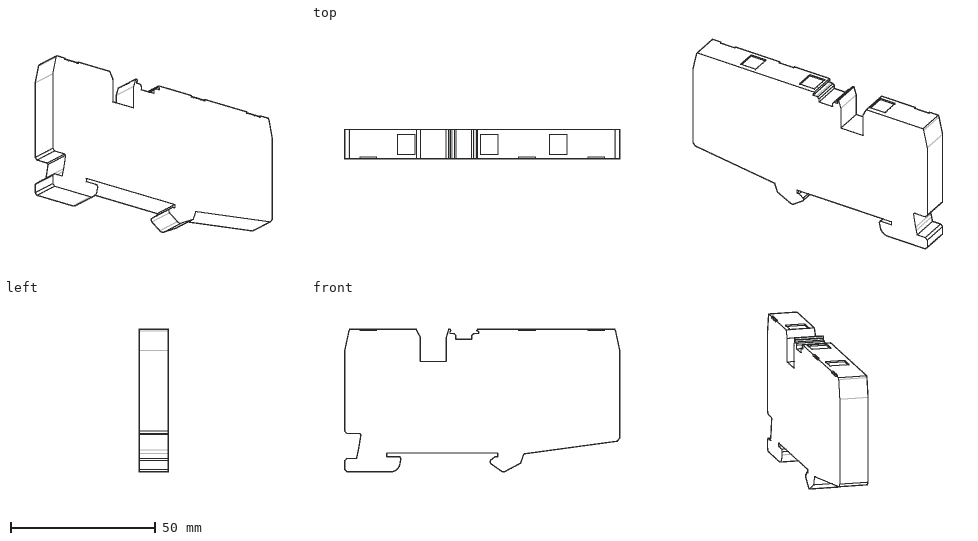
import cadquery as cq

length = 95.5
thickness = 10.2
height = 49.5

taper_start_z = 42.2
taper_run = 1.45
taper_end_z = 48.9
taper_tip_run = 1.75

notch_left = 26.25
notch_right = 35.2
notch_floor_z = 38.35
lead_in_run = 1.4
lead_in_z = 46.8
lip_start_z = 46.5
lip_tip_x = 36.1

channel_center = 41.35
channel_half_width = 2.75
channel_floor_z = 46.1
channel_bevel_half_width = 3.3
channel_bevel_bottom_z = 47.4
channel_bevel_top_z = 47.95
shelf_half_width = 3.85
shelf_z = 48.1
left_undercut_half_width = 4.75
right_undercut_half_width = 5.1
undercut_top_z = 48.7
bead_half_width = 4.45
bead_z = 49.0
mouth_half_width = 4.75

corner_chamfer = 0.8
foot_notch_top_z = 13.3
foot_notch_bottom_z = 4.7
foot_notch_top_x = 5.6
foot_notch_bottom_x = 4.1
foot_notch_corner = 0.4
foot_bend_upper = (4.75, 7.65)
foot_bend_lower = (4.47, 6.45)
toe_start_x = 16.4
toe_mid = (18.6, 1.3)
toe_end = (19.3, 3.3)
toe_tip = (19.6, 4.5)
toe_top_x = 19.2

rail_left = 14.65
rail_right = 53.05
rail_z = 6.5
rail_hook_z = 5.3

latch_top_x = 52.2
latch_nose_start = (50.6, 4.05)
latch_nose_mid = (50.45, 3.6)
latch_nose_end = (50.75, 2.8)
latch_flank_end = (54.2, 0.35)
latch_bottom_x = 55.1
latch_heel_start = (56.1, 0.35)
latch_heel = (61.1, 3.0)
latch_back = (62.2, 6.2)

slope_end = (94.6, 10.6)
right_corner_z = 11.8

pocket_lefts = (18.4, 47.1, 71.0)
pocket_length = 6.1
pocket_y_min = 1.5
pocket_width = 6.9
recess_depth = 0.5

label_lefts = (5.3, 60.4, 84.4)
label_length = 5.8
label_width = 0.6


def channel_side(side, undercut_half_width):
    """Points of one channel wall, from the mouth down to the floor; side is -1 (left) or 1 (right)."""
    offsets = [
        (mouth_half_width, height),
        (bead_half_width, bead_z),
        (undercut_half_width, undercut_top_z),
        (undercut_half_width, shelf_z),
        (shelf_half_width, shelf_z),
        (channel_bevel_half_width, channel_bevel_top_z),
        (channel_half_width, channel_bevel_bottom_z),
        (channel_half_width, channel_floor_z),
    ]
    return [(channel_center + side * offset, z) for offset, z in offsets]


def top_edge_points():
    """Top outline from the left end to the right end."""
    left_end = [(0, taper_start_z), (taper_run, taper_end_z), (taper_tip_run, height)]
    marker_notch = [
        (notch_left - lead_in_run, height),
        (notch_left, lead_in_z),
        (notch_left, notch_floor_z),
        (notch_right, notch_floor_z),
        (notch_right, lip_start_z),
        (lip_tip_x, height),
    ]
    left_wall = channel_side(-1, left_undercut_half_width)
    right_wall = channel_side(1, right_undercut_half_width)
    channel = left_wall + right_wall[::-1]
    right_end = [(length - x, z) for x, z in left_end[::-1]]
    return left_end + marker_notch + channel + right_end


def housing():
    """Side profile extruded through the full thickness, front face at Y = 0."""
    top_edge = top_edge_points()
    profile = (
        cq.Workplane("XZ")
        .moveTo(*top_edge[0])
        .polyline(top_edge[1:], includeCurrent=True)
        .lineTo(length, right_corner_z)
        .lineTo(*slope_end)
        .lineTo(*latch_back)
        .lineTo(*latch_heel)
        .lineTo(*latch_heel_start)
        .threePointArc((latch_bottom_x, 0), latch_flank_end)
        .lineTo(*latch_nose_end)
        .threePointArc(latch_nose_mid, latch_nose_start)
        .lineTo(latch_top_x, rail_hook_z)
        .lineTo(rail_right, rail_hook_z)
        .lineTo(rail_right, rail_z)
        .lineTo(rail_left, rail_z)
        .lineTo(rail_left, rail_hook_z)
        .lineTo(toe_top_x, rail_hook_z)
        .lineTo(*toe_tip)
        .lineTo(*toe_end)
        .threePointArc(toe_mid, (toe_start_x, 0))
        .lineTo(corner_chamfer, 0)
        .lineTo(0, corner_chamfer)
        .lineTo(0, foot_notch_bottom_z - corner_chamfer)
        .lineTo(corner_chamfer, foot_notch_bottom_z)
        .lineTo(foot_notch_bottom_x, foot_notch_bottom_z)
        .lineTo(*foot_bend_lower)
        .lineTo(*foot_bend_upper)
        .lineTo(foot_notch_top_x, foot_notch_top_z - foot_notch_corner)
        .lineTo(foot_notch_top_x - foot_notch_corner, foot_notch_top_z)
        .lineTo(corner_chamfer, foot_notch_top_z)
        .lineTo(0, foot_notch_top_z + corner_chamfer)
        .close()
    )
    return profile.extrude(-thickness)


def top_recess(x_min, y_min, size_x, size_y):
    """Cutter for a shallow rectangular recess in the top face."""
    return cq.Workplane("XY").box(size_x, size_y, recess_depth, centered=False).translate(
        (x_min, y_min, height - recess_depth)
    )


result = housing()
for pocket_left in pocket_lefts:
    result = result.cut(top_recess(pocket_left, pocket_y_min, pocket_length, pocket_width))
for label_left in label_lefts:
    result = result.cut(top_recess(label_left, 0, label_length, label_width))